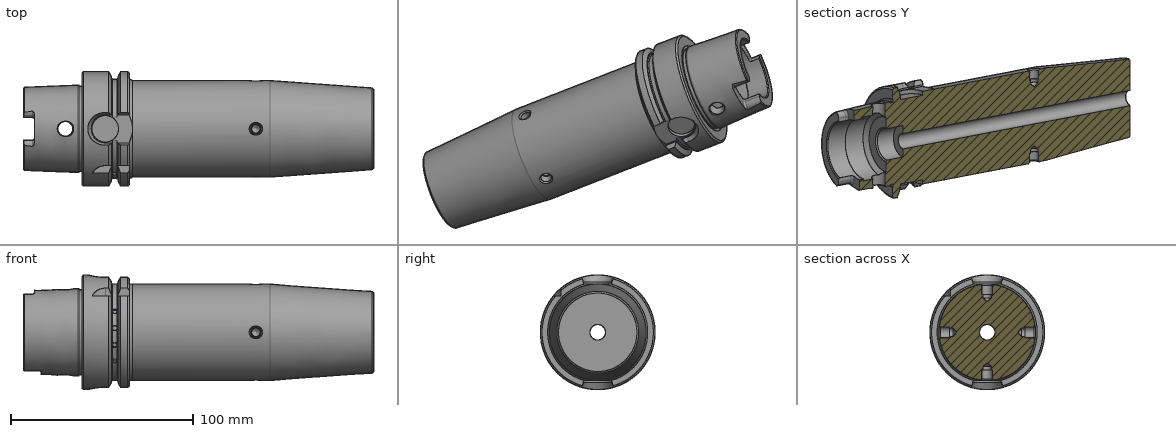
import cadquery as cq
import math


length = 192.0
flange_radius = 31.5

shank_length = 31.9
shank_end_radius = 22.8
shank_base_radius = 24.0
shank_rim_chamfer = 0.5
taper_end_x = 29.5
relief_start_x = 30.3
relief_radius = 23.5
face_recess_radius = 25.0
face_recess_depth = 0.4

edge_chamfer = 1.0
groove_left_x = 46.7
groove_floor_left_x = 48.2
groove_floor_right_x = 51.6
groove_right_x = 53.2
groove_shoulder_radius = 28.6
groove_floor_radius = 27.3
groove_corner_chamfer = 0.5
ring_end_x = 58.0
neck_start_radius = 27.5
neck_end_x = 59.7

body_radius = 26.5
nose_start_x = 135.2
nose_end_radius = 22.5

bore_rim_radius = 17.7
bore_radius = 17.0
bore_undercut_radius = 18.0
bore_bottom_radius = 15.5
bore_mouth_depth = 12.3
bore_undercut_end_x = 25.0
bore_depth = 27.3
coolant_bore_radius = 8.8
coolant_bore_chamfer = 0.8
coolant_bore_depth = 11.5
centre_hole_radius = 4.2

slot_half_width = 6.1
slot_edge_radius = 2.9
slot_floor_fillet = 1.2
slot_run_out = 2.0
upper_slot_depth = 6.0
lower_slot_depth = 9.6

cross_hole_x = 22.8
cross_hole_radius = 4.0
cross_hole_chamfer = 0.5

pocket_centre_x = 44.7
pocket_radius = 7.7
pocket_floor_z = body_radius
pocket_straight_height = 1.0
pocket_wall_angle = 25.0
seat_radius = 7.3
seat_depth = 2.3

notch_wall_y = -20.2
notch_floor_z = 20.0
notch_cutter_x = 45.0
notch_cutter_radius = 8.5

dimple_angles = (-35, -15, 5, 25)
dimple_radius = 1.3
dimple_depth = 1.5

screw_x = 127.3
screw_count = 4
screw_mouth_radius = 3.6
screw_mouth_depth = 1.0
screw_hole_radius = 2.9
screw_hole_depth = 5.8
screw_pilot_radius = 2.3
screw_pilot_depth = 7.7
screw_tip_depth = 2.0

clearance = 9.6
groove_x = (groove_floor_left_x + groove_floor_right_x) / 2


def revolve_about_x(points):
    return cq.Workplane("XY").polyline(points).close().revolve(360, (0, 0, 0), (1, 0, 0))


def revolve_about_z(axis_x, points):
    """Turn (radius, z) points about the vertical line through (axis_x, 0)."""
    profile = cq.Workplane("XZ", origin=(axis_x, 0, 0)).polyline(points).close()
    return profile.revolve(360, (0, 0, 0), (0, 1, 0))


def cylinder(start, direction, radius, height):
    return cq.Workplane(cq.Solid.makeCylinder(radius, height, cq.Vector(*start), cq.Vector(*direction)))


def shank_radius(x):
    return shank_end_radius + (shank_base_radius - shank_end_radius) * x / taper_end_x


def turned_blank():
    corner_radius = groove_floor_radius + groove_corner_chamfer
    return revolve_about_x([
        (0, 0),
        (0, shank_end_radius - shank_rim_chamfer),
        (shank_rim_chamfer, shank_end_radius),
        (taper_end_x, shank_base_radius),
        (relief_start_x, shank_base_radius),
        (relief_start_x, relief_radius),
        (shank_length + face_recess_depth, relief_radius),
        (shank_length + face_recess_depth, face_recess_radius),
        (shank_length, face_recess_radius),
        (shank_length, flange_radius - edge_chamfer),
        (shank_length + edge_chamfer, flange_radius),
        (groove_left_x, flange_radius),
        (groove_floor_left_x, groove_shoulder_radius),
        (groove_floor_left_x, corner_radius),
        (groove_floor_left_x + groove_corner_chamfer, groove_floor_radius),
        (groove_floor_right_x - groove_corner_chamfer, groove_floor_radius),
        (groove_floor_right_x, corner_radius),
        (groove_floor_right_x, groove_shoulder_radius),
        (groove_right_x, flange_radius),
        (ring_end_x - edge_chamfer, flange_radius),
        (ring_end_x, flange_radius - edge_chamfer),
        (ring_end_x, neck_start_radius),
        (neck_end_x, body_radius),
        (nose_start_x, body_radius),
        (length - edge_chamfer, nose_end_radius),
        (length, nose_end_radius - edge_chamfer),
        (length, 0),
    ])


def bore():
    return revolve_about_x([
        (0, 0),
        (0, bore_rim_radius),
        (bore_rim_radius - bore_radius, bore_radius),
        (bore_mouth_depth, bore_radius),
        (bore_mouth_depth, bore_undercut_radius),
        (bore_undercut_end_x, bore_undercut_radius),
        (bore_depth, bore_bottom_radius),
        (bore_depth, coolant_bore_radius + coolant_bore_chamfer),
        (bore_depth + coolant_bore_chamfer, coolant_bore_radius),
        (bore_depth + coolant_bore_depth, coolant_bore_radius),
        (bore_depth + coolant_bore_depth, centre_hole_radius),
        (length, centre_hole_radius),
        (length, 0),
    ])


def drive_slot(depth):
    """Slot on the +Z side whose long edges are rounded over into the shank surface.

    The profile leaves each rounding along its tangent, just outside the shank.
    """
    surface_radius = shank_radius(depth)
    centre_y = slot_half_width + slot_edge_radius
    centre_z = math.sqrt((surface_radius - slot_edge_radius) ** 2 - centre_y ** 2)
    end_angle = math.atan2(centre_z, centre_y)

    def arc_point(angle):
        return (
            centre_y + slot_edge_radius * math.cos(angle),
            centre_z + slot_edge_radius * math.sin(angle),
        )

    def mirrored(point):
        return (-point[0], point[1])

    wall = arc_point(math.pi)
    middle = arc_point((math.pi + end_angle) / 2)
    rim = arc_point(end_angle)
    run_out = (rim[0] + slot_run_out * math.sin(end_angle), rim[1] - slot_run_out * math.cos(end_angle))
    top_z = surface_radius + clearance
    return (
        cq.Workplane("YZ", origin=(-clearance, 0, 0))
        .moveTo(-slot_half_width, 0)
        .lineTo(slot_half_width, 0)
        .lineTo(*wall)
        .threePointArc(middle, rim)
        .lineTo(*run_out)
        .lineTo(run_out[0], top_z)
        .lineTo(-run_out[0], top_z)
        .lineTo(*mirrored(run_out))
        .lineTo(*mirrored(rim))
        .threePointArc(mirrored(middle), mirrored(wall))
        .close()
        .extrude(clearance + depth)
        .faces(">X")
        .edges("not(<Z or >Z)")
        .fillet(slot_floor_fillet)
    )


def cross_hole():
    """Through hole along Z with a chamfered mouth on both sides of the shank."""
    surface_z = shank_radius(cross_hole_x)
    mouth_radius = cross_hole_radius + cross_hole_chamfer
    straight_z = surface_z - cross_hole_chamfer
    top_z = surface_z + clearance
    return revolve_about_z(cross_hole_x, [
        (0, -top_z),
        (mouth_radius, -top_z),
        (mouth_radius, -surface_z),
        (cross_hole_radius, -straight_z),
        (cross_hole_radius, straight_z),
        (mouth_radius, surface_z),
        (mouth_radius, top_z),
        (0, top_z),
    ])


def pocket_outline(z):
    """Round-ended outline, open toward +X past the neck."""
    slot_length = neck_end_x + clearance - pocket_centre_x
    return (
        cq.Workplane("XY", origin=(pocket_centre_x, 0, z))
        .moveTo(slot_length, pocket_radius)
        .lineTo(0, pocket_radius)
        .threePointArc((-pocket_radius, 0), (0, -pocket_radius))
        .lineTo(slot_length, -pocket_radius)
        .close()
    )


def key_pocket():
    """Pocket with upright lower walls, sloping upper walls and a sunken round seat."""
    flare_z = pocket_floor_z + pocket_straight_height
    straight = pocket_outline(pocket_floor_z).extrude(pocket_straight_height)
    flare = pocket_outline(flare_z).extrude(clearance, taper=-pocket_wall_angle)
    seat = cylinder((pocket_centre_x, 0, pocket_floor_z - seat_depth), (0, 0, 1), seat_radius, 2 * seat_depth)
    return straight.union(flare).union(seat)


def orientation_notch():
    cutter_y = notch_wall_y - notch_cutter_radius
    run = cq.Workplane("XY").box(
        neck_end_x - notch_cutter_x, 2 * notch_cutter_radius, clearance, centered=(False, True, False)
    ).translate((notch_cutter_x, cutter_y, notch_floor_z))
    end = cylinder((notch_cutter_x, cutter_y, notch_floor_z), (0, 0, 1), notch_cutter_radius, clearance)
    return run.union(end)


def groove_dimple(angle):
    bottom_radius = groove_floor_radius - dimple_depth
    direction = (0, -math.cos(math.radians(angle)), math.sin(math.radians(angle)))
    start = (groove_x, bottom_radius * direction[1], bottom_radius * direction[2])
    return cylinder(start, direction, dimple_radius, 2 * dimple_depth)


def screw_hole():
    """Stepped blind hole on the +Z side with a drill-point bottom."""
    pilot_z = body_radius - screw_pilot_depth
    bottom_z = body_radius - screw_hole_depth
    top_z = body_radius + clearance
    return revolve_about_z(screw_x, [
        (0, pilot_z - screw_tip_depth),
        (screw_pilot_radius, pilot_z),
        (screw_pilot_radius, bottom_z),
        (screw_hole_radius, bottom_z),
        (screw_hole_radius, body_radius - screw_mouth_depth),
        (screw_mouth_radius, body_radius),
        (screw_mouth_radius, top_z),
        (0, top_z),
    ])


def turn_about_x(shape, angle):
    return shape.rotate((0, 0, 0), (1, 0, 0), angle)


result = turned_blank().cut(bore()).cut(cross_hole())
result = result.cut(drive_slot(upper_slot_depth))
result = result.cut(turn_about_x(drive_slot(lower_slot_depth), 180))
for pocket_angle in (0, 180):
    result = result.cut(turn_about_x(key_pocket(), pocket_angle))
result = result.cut(orientation_notch())
for dimple_angle in dimple_angles:
    result = result.cut(groove_dimple(dimple_angle))
for index in range(screw_count):
    result = result.cut(turn_about_x(screw_hole(), index * 360 / screw_count))